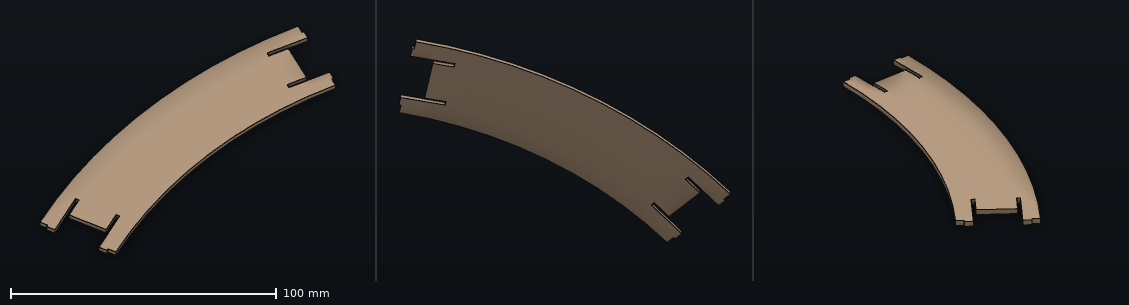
import cadquery as cq
import math

thickness = 2.2
mid_radius = 200.0
track_width = 32.2
outer_radius = mid_radius + track_width / 2
inner_radius = mid_radius - track_width / 2
sweep_angle = math.degrees(math.atan2(3, 4))

opening_width = 18.6
opening_depth = 16.3
tongue_width = 15.8
tongue_setback = 8.1
tab_width = 3.5
tab_length = 0.8


def box_at(center_x, width, y_start, y_end):
    """Full-thickness box centred on center_x and spanning y_start to y_end."""
    box = cq.Workplane("XY").box(width, y_end - y_start, thickness, centered=(True, False, False))
    return box.translate((center_x, y_start, 0))


def track_segment():
    """Annular sector whose centre is at the origin and whose first end lies on Y = 0."""

    def point(radius, angle):
        turn = math.radians(angle)
        return (-radius * math.cos(turn), radius * math.sin(turn))

    half_angle = sweep_angle / 2
    return (
        cq.Workplane("XY")
        .moveTo(*point(outer_radius, 0))
        .threePointArc(point(outer_radius, half_angle), point(outer_radius, sweep_angle))
        .lineTo(*point(inner_radius, sweep_angle))
        .threePointArc(point(inner_radius, half_angle), point(inner_radius, 0))
        .close()
        .extrude(thickness)
    )


def end_opening():
    """Material removed between the arms: the opening less the tongue left inside it."""
    opening = box_at(-mid_radius, opening_width, -tab_length, opening_depth)
    tongue = box_at(-mid_radius, tongue_width, tongue_setback, opening_depth)
    return opening.cut(tongue)


def end_tabs():
    """The two tabs that project beyond the end, flush with the sides of the opening."""
    offset = (opening_width + tab_width) / 2
    left = box_at(-mid_radius - offset, tab_width, -tab_length, tab_length)
    right = box_at(-mid_radius + offset, tab_width, -tab_length, tab_length)
    return left.union(right)


def at_far_end(shape):
    """Mirror a shape built at the first end across the segment's middle radius."""
    mirrored = shape.mirror("XZ")
    return mirrored.rotate((0, 0, 0), (0, 0, 1), -sweep_angle)


plate = track_segment()
plate = plate.union(end_tabs()).union(at_far_end(end_tabs()))
plate = plate.cut(end_opening()).cut(at_far_end(end_opening()))

result = plate.translate((outer_radius, 0, 0))